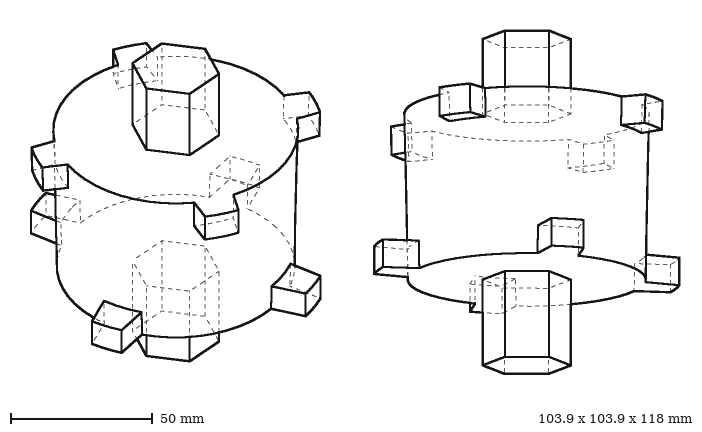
import cadquery as cq
import math

drum_height = 60.0
drum_top_radius = 43.2
drum_bottom_radius = 42.0

hex_sides = 6
hex_across_flats = 27.0
shaft_above_drum = 27.0
shaft_below_drum = 31.0

teeth_per_ring = 4
tooth_root_half_width = 7.3
tooth_root_distance = 42.45
tooth_side_angle = 7.0
tooth_inner_distance = 27.0
tip_trim_allowance = 1.0

top_tooth_height = 10.3
top_tooth_radius = 51.96
top_tip_bottom_radius = 51.65

bottom_tooth_height = 10.0
bottom_tooth_radius = 54.5
bottom_ring_angle = 45.0


def make_frustum(bottom_radius, top_radius, height):
    """Solid of revolution about Z, standing on Z = 0."""
    profile = [(0, 0), (bottom_radius, 0), (top_radius, height), (0, height)]
    return cq.Workplane("XZ").polyline(profile).close().revolve(360, (0, 0), (0, 1))


def make_shaft():
    length = shaft_below_drum + drum_height + shaft_above_drum
    corner_diameter = hex_across_flats / math.cos(math.pi / hex_sides)
    return (
        cq.Workplane("XY")
        .workplane(offset=-shaft_below_drum)
        .polygon(hex_sides, corner_diameter)
        .extrude(length)
    )


def half_width_at(distance):
    """Half the tooth width at a distance from the Z axis."""
    narrowing = (distance - tooth_root_distance) * math.tan(math.radians(tooth_side_angle))
    return tooth_root_half_width - narrowing


def make_tooth_ring(tip_bottom_radius, tip_top_radius, height, first_angle):
    """Ring of teeth on Z = 0, trimmed to a round tip surface."""
    inner = tooth_inner_distance
    outer = tip_top_radius + tip_trim_allowance
    outline = [
        (inner, -half_width_at(inner)),
        (outer, -half_width_at(outer)),
        (outer, half_width_at(outer)),
        (inner, half_width_at(inner)),
    ]
    wedge = cq.Workplane("XY").polyline(outline).close().extrude(height)
    tooth = wedge.intersect(make_frustum(tip_bottom_radius, tip_top_radius, height))
    ring = cq.Workplane("XY")
    for index in range(teeth_per_ring):
        angle = first_angle + index * 360 / teeth_per_ring
        ring = ring.add(tooth.rotate((0, 0, 0), (0, 0, 1), angle))
    return ring


drum = make_frustum(drum_bottom_radius, drum_top_radius, drum_height)
top_ring = make_tooth_ring(top_tip_bottom_radius, top_tooth_radius, top_tooth_height, 0)
top_ring = top_ring.translate((0, 0, drum_height - top_tooth_height))
bottom_ring = make_tooth_ring(
    bottom_tooth_radius, bottom_tooth_radius, bottom_tooth_height, bottom_ring_angle
)

result = drum.union(make_shaft())
for tooth in top_ring.vals() + bottom_ring.vals():
    result = result.union(cq.Workplane(obj=tooth))